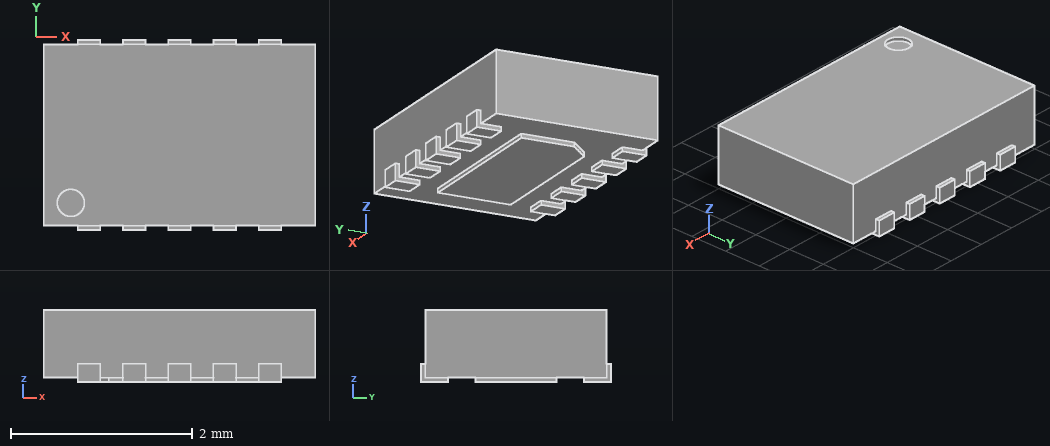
import cadquery as cq

body_length = 3.0
body_width = 2.0
overall_height = 0.8
metal_thickness = 0.05
body_bottom = metal_thickness
body_height = overall_height - body_bottom

leads_per_side = 5
lead_pitch = 0.5
lead_width = 0.25
lead_height = 0.203
lead_foot_length = 0.3

pad_length = 2.05
pad_width = 0.9
pad_bevel = 0.245

dimple_diameter = 0.3
dimple_depth = 0.05
dimple_end_distance = 0.3
dimple_side_distance = 0.25


def make_body():
    """Plain block with a shallow round dimple near the pin 1 corner."""
    block = cq.Workplane("XY").box(body_length, body_width, body_height, centered=(True, True, False))
    block = block.translate((0, 0, body_bottom))
    dimple_x = dimple_end_distance - body_length / 2
    dimple_y = dimple_side_distance - body_width / 2
    dimple = (
        cq.Workplane("XY", origin=(dimple_x, dimple_y, overall_height))
        .circle(dimple_diameter / 2)
        .extrude(-dimple_depth)
    )
    return block.cut(dimple)


def make_lead(x_center):
    """L-shaped lead on the -Y side: a foot under the body and a wall up its side."""
    outer_y = -body_width / 2 - metal_thickness
    wall_y = -body_width / 2
    foot_end_y = outer_y + lead_foot_length
    profile = [
        (outer_y, 0),
        (foot_end_y, 0),
        (foot_end_y, metal_thickness),
        (wall_y, metal_thickness),
        (wall_y, lead_height),
        (outer_y, lead_height),
    ]
    return (
        cq.Workplane("YZ", origin=(x_center, 0, 0))
        .polyline(profile)
        .close()
        .extrude(lead_width / 2, both=True)
    )


def make_exposed_pad():
    """Thin rectangular pad with the corner nearest pin 1 bevelled."""
    return (
        cq.Workplane("XY")
        .box(pad_length, pad_width, metal_thickness, centered=(True, True, False))
        .edges("|Z and <X")
        .edges("<Y")
        .chamfer(pad_bevel)
    )


result = make_body().union(make_exposed_pad())

for index in range(leads_per_side):
    lead_x = (index - (leads_per_side - 1) / 2) * lead_pitch
    lead = make_lead(lead_x)
    result = result.union(lead).union(lead.mirror("XZ"))